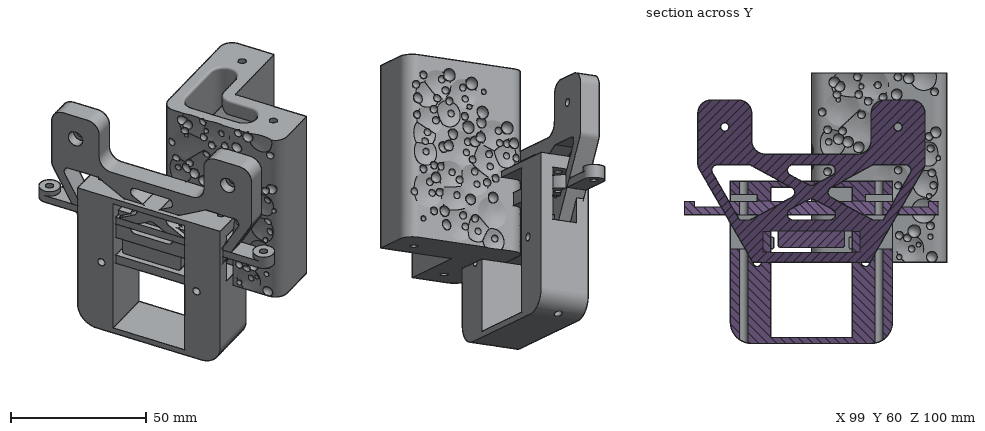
import cadquery as cq
import math


block_leg = 50.0
block_arm = 20.0
block_height = 70.0
block_corner_radius = 5.0
block_hole_diameter = 3.0
block_hole_end_gap = 9.5
block_hole_side_gap = 11.75

pocket_wall = 5.0
pocket_width = block_arm - 2 * pocket_wall
pocket_reach = 34.0
end_flat = 0.002
pocket_inner_radius = 5.0
pocket_step_depth = 6.0
pocket_slope_angle = 55.0
pocket_rim_radius = 1.0

frame_size = 60.0
frame_depth = 20.0
frame_corner_radius = 8.0
window_width = 30.0
window_margin = 2.3
frame_screw_offset = 20.0
frame_bolt_offset = 25.0
frame_hole_diameter = 3.0
side_pocket_depth = 10.0
side_pocket_width = 10.0
side_pocket_bottom = 5.0
side_pocket_height = 20.0

hanger_thickness = 8.0
hanger_half_width = 42.0
hanger_bottom_half_width = 21.6
shoulder_height = 35.4
shoulder_radius = 4.0
beam_bottom = 36.0
beam_top = 40.0
ear_top = 60.0
ear_width = 20.0
ear_radius = 5.0
ear_hole_height = 50.0
ear_hole_diameter = 3.0
ear_counterbore_diameter = 6.0
ear_counterbore_depth = 4.0
void_bottom = 15.7
void_radius = 2.0
strut_inner_top = 38.2
strut_slope = math.tan(math.radians(30))
node_offset = 4.0
brace_slope = 0.543
slot_bottom = 3.65
slot_top = 11.5
slot_half_width = 18.0

tongue_half_width = 12.3
tongue_bottom = 5.4
tongue_radius = 1.2
link_hole_pitch = 90.0
link_width = hanger_thickness
link_bottom = 17.5
link_bar_thickness = 3.0
link_boss_height = 5.0
link_hole_diameter = 3.0
hub_half_length = 31.5
hub_front = -6.0
hub_back = side_pocket_width / 2
hub_corner_radius = 8.0
insert_inner = 13.9
insert_outer = 22.0
insert_bottom = side_pocket_bottom
insert_height = 4.4
insert_chamfer = 0.4

SIDES = (-1, 1)

crater_depth = 1.0
bubble_depth_ratio = 0.55
front_craters = {
    9: [(43, 40), (41.5, 19)],
    10: [(41.5, 68.5), (7.5, 44), (42.5, 29), (36.5, 5)],
    11: [(23, 65.5), (13, 65.5)],
    13: [(11.5, 56.5), (17.5, 50), (29.5, 30.5)],
}
front_bubbles = {
    2: [(10, 60), (47, 38.5), (43.5, 24.5), (44, 9.5), (39.5, 6.5), (32.5, 2), (18.5, 65)],
    2.9: [
        (45.5, 63), (26.5, 61), (9.5, 62), (17.5, 62), (21, 59.5), (18.5, 54.5), (4, 55.5), (6, 49),
        (11.5, 48.5), (6.5, 44.5), (43.5, 46.5), (44, 42), (6, 33.5), (32, 34), (44.5, 33),
        (32, 28.5), (45, 28.5), (44, 13.5), (35.5, 9), (32.5, 10), (37, 5), (17, 68.5),
        (32, 68.5), (24.5, 65.5),
    ],
    4: [
        (36, 68), (8.5, 66.5), (10.5, 65), (31.5, 62), (10, 45.5), (13.5, 44.5), (17.5, 42.5),
        (46, 48), (44.5, 2),
    ],
    4.7: [(38, 11.5)],
}
side_craters = {
    9: [(13.5, 3)],
    10: [(41.5, 55), (32.5, 49), (8.5, 36.5), (43, 40), (42.5, 33), (20.5, 6.5)],
    11: [(37, 59.5), (26, 57.5), (40.5, 45.5), (31.5, 25.5), (30, 17)],
    12: [(13, 43), (16.5, 33), (21.5, 25), (14, 13.5)],
    13: [(26.5, 36.5), (41.5, 18.5), (28, 7.5)],
}
side_bubbles = {
    2: [(17.5, 59.5), (23.5, 53), (43, 7.5)],
    2.9: [
        (43, 62.5), (26, 60), (35, 62), (46, 58.5), (33.5, 58), (37, 54.5), (32, 54), (25, 56),
        (25.5, 49), (31, 49.5), (38.5, 50), (45.5, 47), (37.5, 46), (11, 45.5), (10.5, 41), (7.5, 41),
        (7.5, 36.5), (3.5, 36), (24, 39.5), (41, 41), (24.5, 35.5), (15, 36), (22, 33), (14.5, 31.5),
        (41.5, 33.5), (42, 37.5), (43, 26.5), (38.5, 28.5), (35.5, 28.5), (30.5, 27), (21, 28.5),
        (16, 25), (12.5, 27), (20, 24), (40, 22), (27.5, 24.5), (39, 18), (36, 18.5), (46.5, 17.5),
        (28.5, 18.5), (38.5, 11), (26, 11), (21, 10.5), (25, 7), (19.5, 6), (12.5, 4),
    ],
    4: [
        (45, 53.5), (18.5, 47.5), (18.5, 42), (4.5, 41.5), (30.5, 41.5), (21, 40), (32, 37),
        (34.5, 36), (37.5, 24), (23, 17.5), (34, 11.5), (33, 6.5), (13.5, 19.5),
    ],
    4.7: [(32, 64), (22.5, 62), (18, 51.5), (24, 45), (7.5, 47)],
}


def box(x_range, y_range, z_range):
    """Box between the given limits."""
    (x0, x1), (y0, y1), (z0, z1) = x_range, y_range, z_range
    return cq.Workplane("XY").box(x1 - x0, y1 - y0, z1 - z0, centered=False).translate((x0, y0, z0))


def plate(points, y_front, y_back):
    """Plate with an XZ outline between two Y positions."""
    outline = cq.Workplane("XZ", origin=(0, y_back, 0)).polyline(points).close()
    return outline.extrude(y_back - y_front)


def rod(diameter, x, y, z_range):
    """Vertical rod."""
    z0, z1 = z_range
    return cq.Workplane("XY", origin=(x, y, z0)).circle(diameter / 2).extrude(z1 - z0)


def l_prism(inset, reach, z_bottom, z_top):
    """L-shaped prism whose two legs run along +X and +Y from the block corner."""
    near, far = inset, block_arm - inset
    points = [(near, near), (reach, near), (reach, far), (far, far), (far, reach), (near, reach)]
    outline = cq.Workplane("XY", origin=(0, 0, z_bottom)).polyline(points).close()
    return outline.extrude(z_top - z_bottom)


def hanger_outline():
    """Plate with two ears on a beam and a body that narrows downwards."""
    ear_inner = hanger_half_width - ear_width
    right = [
        (hanger_bottom_half_width, 0),
        (hanger_half_width, shoulder_height),
        (hanger_half_width, ear_top),
        (ear_inner, ear_top),
        (ear_inner, beam_top),
    ]
    left = [(-x, z) for x, z in reversed(right)]
    body = plate(right + left, -hanger_thickness, 0)
    ear_edges = cq.selectors.BoxSelector(
        (-hanger_half_width - 1, -hanger_thickness, beam_top - 1),
        (hanger_half_width + 1, 0, ear_top + 1),
    )
    body = body.edges("|Y").edges(ear_edges).fillet(ear_radius)
    shoulder_edges = cq.selectors.BoxSelector(
        (-hanger_half_width - 1, -hanger_thickness, shoulder_height - 1),
        (hanger_half_width + 1, 0, shoulder_height + 1),
    )
    return body.edges("|Y").edges(shoulder_edges).fillet(shoulder_radius)


def hanger_voids():
    """Openings left between the crossed braces."""
    middle = (void_bottom + beam_bottom) / 2
    half_height = (beam_bottom - void_bottom) / 2
    brace_run = half_height / brace_slope
    tip_gap = node_offset * brace_slope
    voids = []
    for side in SIDES:
        side_points = [
            (side * strut_inner_top, beam_bottom),
            (side * (node_offset + brace_run), beam_bottom),
            (side * node_offset, middle),
            (side * (node_offset + brace_run), void_bottom),
            (side * (strut_inner_top - strut_slope * (beam_bottom - void_bottom)), void_bottom),
        ]
        side_void = plate(side_points, -hanger_thickness, 0)
        sharp_tips = cq.selectors.BoxSelector(
            (-node_offset - 1, -hanger_thickness, middle - 1), (node_offset + 1, 0, middle + 1)
        )
        outer_top = "<X" if side < 0 else ">X"
        side_void = side_void.edges("|Y").edges(sharp_tips).fillet(void_radius)
        voids.append(side_void.edges("|Y").edges(outer_top).fillet(void_radius))
        base_half = brace_run - node_offset
        level = middle + side * half_height
        tip = middle + side * tip_gap
        middle_void = plate([(-base_half, level), (base_half, level), (0, tip)], -hanger_thickness, 0)
        voids.append(middle_void.edges("|Y").fillet(void_radius))
    return voids


def make_hanger_blank():
    """Hanger before the lap joint with the link."""
    body = hanger_outline()
    for void in hanger_voids():
        body = body.cut(void)
    body = body.cut(box((-slot_half_width, slot_half_width), (-hanger_thickness, 0), (slot_bottom, slot_top)))
    ear_holes = [(side * (hanger_half_width - ear_width / 2), ear_hole_height) for side in SIDES]
    front = cq.Workplane("XZ", origin=(0, -hanger_thickness, 0)).pushPoints(ear_holes)
    body = body.cut(front.circle(ear_hole_diameter / 2).extrude(-hanger_thickness))
    return body.cut(front.circle(ear_counterbore_diameter / 2).extrude(-ear_counterbore_depth))


def make_tongue():
    """Plate that hangs from the top of the hanger's lower slot."""
    body = box((-tongue_half_width, tongue_half_width), (-hanger_thickness, 0), (tongue_bottom, slot_top))
    return body.edges("|Y and <Z").fillet(tongue_radius)


def make_link_blank():
    """Flat bar with a drilled boss at each end and a thicker hub in the middle."""
    middle_y = -link_width / 2
    boss_top = link_bottom + link_boss_height
    bar_x_range = (-link_hole_pitch / 2, link_hole_pitch / 2)
    body = box(bar_x_range, (-link_width, 0), (link_bottom, link_bottom + link_bar_thickness))
    hub = box((-hub_half_length, hub_half_length), (hub_front, hub_back), (link_bottom, boss_top))
    body = body.union(hub.edges("|Z and >Y").fillet(hub_corner_radius))
    for side in SIDES:
        body = body.union(rod(link_width, side * link_hole_pitch / 2, middle_y, (link_bottom, boss_top)))
    z_range = (link_bottom, boss_top)
    for side in SIDES:
        body = body.cut(rod(link_hole_diameter, side * link_hole_pitch / 2, middle_y, z_range))
        body = body.cut(rod(frame_hole_diameter, side * frame_bolt_offset, 0, z_range))
    return body


def make_insert(side):
    """Small block set through a side wall of the frame, level with the side pocket floor."""
    x_range = sorted((side * insert_inner, side * insert_outer))
    body = box(x_range, (0, side_pocket_width / 2), (insert_bottom, insert_bottom + insert_height))
    inner_face = ">X" if side < 0 else "<X"
    return body.faces(inner_face).edges("|Y").chamfer(insert_chamfer)


def frame_envelope():
    """Square frame with its window, before the smaller cuts."""
    half = frame_size / 2
    body = box((-half, half), (-frame_depth / 2, frame_depth / 2), (-half, half))
    body = body.edges("|Y and <Z").fillet(frame_corner_radius)
    window_half = half - window_margin
    return body.cut(
        box((-window_width / 2, window_width / 2), (-frame_depth, frame_depth), (-window_half, window_half))
    )


def make_frame_blank():
    """Frame with its side pockets, screw holes and bolt holes."""
    half = frame_size / 2
    body = frame_envelope()
    for side in SIDES:
        x_range = sorted((side * (half - side_pocket_depth), side * half))
        y_range = (-side_pocket_width / 2, side_pocket_width / 2)
        body = body.cut(box(x_range, y_range, (side_pocket_bottom, side_pocket_bottom + side_pocket_height)))
        body = body.cut(rod(frame_hole_diameter, side * frame_bolt_offset, 0, (-half, half)))
        screw = cq.Workplane("XZ").center(side * frame_screw_offset, 0).circle(frame_hole_diameter / 2)
        body = body.cut(screw.extrude(frame_depth, both=True))
    return body


def block_pocket():
    """L-shaped pocket whose floor slopes down from the inner walls to the outer walls."""
    floor_slope = math.tan(math.radians(pocket_slope_angle))
    outer_depth = pocket_step_depth + pocket_width * floor_slope
    column = l_prism(pocket_wall, pocket_reach, block_height - outer_depth, block_height)
    end_edges = cq.selectors.BoxSelector(
        (pocket_reach - 1, 0, 0), (pocket_reach + 1, block_arm, block_height)
    ) + cq.selectors.BoxSelector((0, pocket_reach - 1, 0), (block_arm, pocket_reach + 1, block_height))
    corner = block_arm - pocket_wall
    inner_edge = cq.selectors.BoxSelector((corner - 1, corner - 1, 0), (corner + 1, corner + 1, block_height))
    outer_edge = cq.selectors.BoxSelector(
        (pocket_wall - 1, pocket_wall - 1, 0), (pocket_wall + 1, pocket_wall + 1, block_height)
    )
    end_radius = pocket_width / 2 - end_flat / 2
    column = column.edges("|Z").edges(end_edges + outer_edge).fillet(end_radius)
    column = column.edges("|Z").edges(inner_edge).fillet(pocket_inner_radius)

    shallow_end = corner + pocket_step_depth / floor_slope
    profile = [
        (pocket_wall, block_height),
        (shallow_end, block_height),
        (pocket_wall, block_height - outer_depth),
    ]
    x_wedge = cq.Workplane("XZ").polyline(profile).close().extrude(-block_leg)
    y_wedge = cq.Workplane("YZ").polyline(profile).close().extrude(block_leg)
    return column.intersect(x_wedge.union(y_wedge))


def bubble_depth(diameter):
    """Depth of a bubble with the given opening."""
    return bubble_depth_ratio * diameter


def pit_tools(craters, bubbles, axis_plane, place):
    """Spheres that pit one face; `place` turns (along, height, outward) into a point.

    The poles of the spheres lie along the normal of `axis_plane`, square to the pitted face.
    """
    tools = []
    for pits, depth_of in ((craters, lambda diameter: crater_depth), (bubbles, bubble_depth)):
        for diameter, centres in pits.items():
            depth = depth_of(diameter)
            radius = ((diameter / 2) ** 2 + depth**2) / (2 * depth)
            for along, height in centres:
                ball = cq.Workplane(axis_plane).sphere(radius)
                tools.append(ball.translate(place(along, height, radius - depth)))
    return tools


def make_block_blank():
    """L-shaped block with rounded outer corners, bolt holes, a top pocket and pitted outer faces."""
    body = l_prism(0, block_leg, 0, block_height)
    for corner_x, corner_y in ((0, 0), (block_leg, 0), (0, block_leg)):
        corner_edge = cq.selectors.BoxSelector(
            (corner_x - 1, corner_y - 1, 0), (corner_x + 1, corner_y + 1, block_height)
        )
        body = body.edges("|Z").edges(corner_edge).fillet(block_corner_radius)
    body = body.cut(block_pocket())
    rim_edges = cq.selectors.BoxSelector(
        (pocket_wall - 1, pocket_wall - 1, block_height - 1), (pocket_reach, pocket_reach, block_height + 1)
    )
    body = body.faces(">Z").edges(rim_edges).fillet(pocket_rim_radius)
    hole_end = block_leg - block_hole_end_gap
    for x, y in ((hole_end, block_hole_side_gap), (block_hole_side_gap, hole_end)):
        body = body.cut(rod(block_hole_diameter, x, y, (0, block_height)))
    pits = pit_tools(front_craters, front_bubbles, "XZ", lambda along, height, out: (along, -out, height))
    pits += pit_tools(side_craters, side_bubbles, "YZ", lambda along, height, out: (-out, along, height))
    for pit in pits:
        body = body.cut(pit)
    return body


hanger_blank = make_hanger_blank()
link_blank = make_link_blank()
tongue = make_tongue()
inserts = [make_insert(side) for side in SIDES]

front_half = box(
    (-hanger_half_width, hanger_half_width), (-hanger_thickness, -hanger_thickness / 2), (0, ear_top)
)
hanger = hanger_blank.cut(link_blank.intersect(front_half))
link = link_blank.cut(hanger)

frame = make_frame_blank().cut(hanger_blank).cut(link_blank)
block = make_block_blank().cut(frame_envelope()).cut(link_blank)
for insert in inserts:
    frame = frame.cut(insert)
    block = block.cut(insert)

bodies = [block, frame, hanger, link, tongue, *inserts]
result = cq.Compound.makeCompound([body.solids().val() for body in bodies])